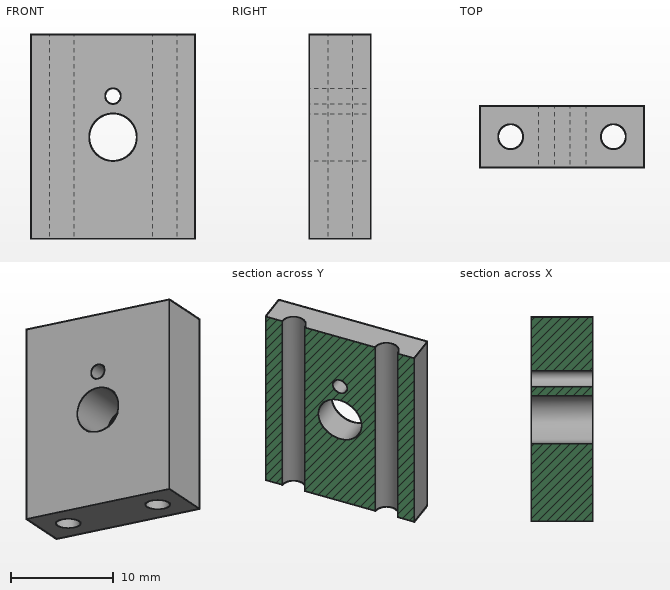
import cadquery as cq

width = 16.0
thickness = 6.0
height = 19.9

bore_diameter = 4.6
bore_depth_from_top = 10.0
pin_hole_diameter = 1.5
pin_hole_above_bore = 4.0

screw_hole_diameter = 2.4
screw_hole_spacing = 10.0

bore_z = height - bore_depth_from_top
pin_hole_z = bore_z + pin_hole_above_bore


def cross_hole(diameter, z):
    """Cylinder along Y through the full thickness, on the block's centre line."""
    return (
        cq.Workplane("XZ")
        .center(0, z)
        .circle(diameter / 2)
        .extrude(thickness / 2, both=True)
    )


def vertical_hole(x):
    """Cylinder along Z through the full height, at mid thickness."""
    return cq.Workplane("XY").center(x, 0).circle(screw_hole_diameter / 2).extrude(height)


result = cq.Workplane("XY").box(width, thickness, height, centered=(True, True, False))

result = result.cut(cross_hole(bore_diameter, bore_z))
result = result.cut(cross_hole(pin_hole_diameter, pin_hole_z))

for side in (-1, 1):
    result = result.cut(vertical_hole(side * screw_hole_spacing / 2))